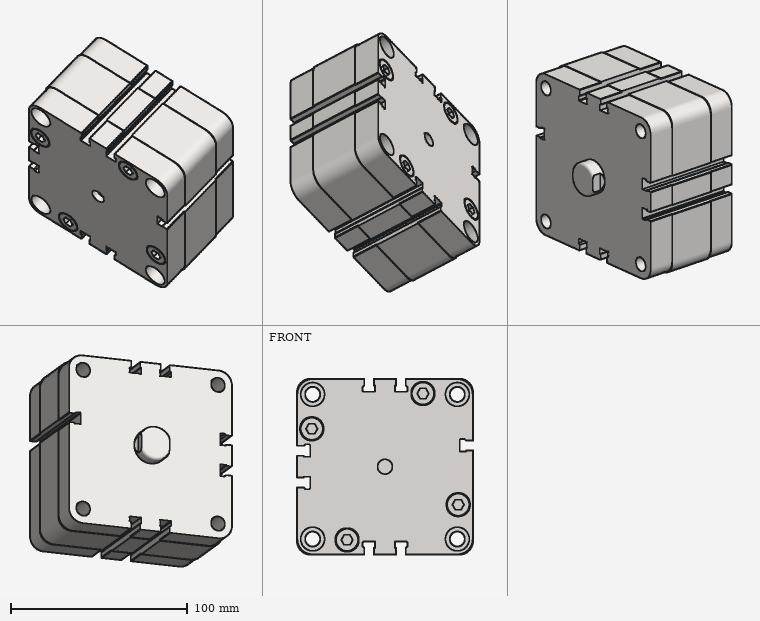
import cadquery as cq
import math

body_side = 100.0
cap_setback = 0.4
corner_radius = 8.2
cap_thickness = 16.0
body_length = 29.0
cap_side = body_side - 2 * cap_setback
rear_face = 2 * cap_thickness + body_length
rear_cap_start = cap_thickness + body_length

slot_depth = 7.5
slot_neck_depth = 4.0
slot_mouth = 5.5
pocket_outer_step = 0.9
pocket_inner_step = 0.5
pocket_bevel = 0.4
mouth_bevel = 0.3
slot_offset = 9.0
single_slot_offset = 12.0

mount_offset = 41.0
mount_hole_diameter = 8.4
mount_bore_diameter = 13.5
mount_bore_depth = 9.0

screw_near = 21.5
screw_far = 41.5
screw_bore_diameter = 13.5
screw_head_diameter = 12.5
screw_head_height = 8.0
socket_flats = 5.7
socket_depth = 4.0

centre_hole_diameter = 8.4
centre_hole_depth = 4.0

rod_diameter = 20.0
rod_length = 8.0
rod_tip_radius = 1.8
rod_flats = 17.0
rod_flat_length = 5.7


def section_at(y):
    """Workplane at Y = y that extrudes toward +Y; local x is -X and local y is Z."""
    return cq.Workplane(cq.Plane((0, y, 0), xDir=(-1, 0, 0), normal=(0, 1, 0)))


def rounded_block(side, start, length):
    block = section_at(start).rect(side, side).extrude(length)
    return block.edges("|Y").fillet(corner_radius)


def cylinder(x, z, diameter, start, length):
    return section_at(start).center(-x, z).circle(diameter / 2).extrude(length)


def prism(points, start, length):
    """Extrude an outline of (x, z) points along Y."""
    mirrored = [(-x, z) for x, z in points]
    return section_at(start).polyline(mirrored).close().extrude(length)


def slot_cutter(offset, outward):
    """Full-length slot in the +Z side; `outward` (+1 or -1) is the X side of the wider pocket step."""
    top = body_side / 2
    neck_bottom = top - slot_neck_depth
    floor = top - slot_depth
    half = slot_mouth / 2
    inner = half + pocket_inner_step
    outer = half + pocket_outer_step
    profile = [
        (-half, top),
        (-half, neck_bottom),
        (-inner, neck_bottom),
        (-inner, floor),
        (outer - pocket_bevel, floor),
        (outer, floor + pocket_bevel),
        (outer, neck_bottom - pocket_outer_step),
        (half, neck_bottom),
        (half, top),
    ]
    return prism([(offset + outward * across, z) for across, z in profile], 0, rear_face)


def mouth_bevel_cutter(offset, side, start, length):
    """Wedge that bevels both mouth edges of a slot in the +Z side of a block."""
    top = side / 2
    half = slot_mouth / 2
    wedge = [
        (offset - half, top - mouth_bevel),
        (offset - half - mouth_bevel, top),
        (offset + half + mouth_bevel, top),
        (offset + half, top - mouth_bevel),
    ]
    return prism(wedge, start, length)


def slotted(block, offset, outward, turn, bevel_body):
    """Cut one slot, turned about the Y axis from the +Z side."""
    cutters = [
        slot_cutter(offset, outward),
        mouth_bevel_cutter(offset, cap_side, 0, cap_thickness),
        mouth_bevel_cutter(offset, cap_side, rear_cap_start, cap_thickness),
    ]
    if bevel_body:
        cutters.append(mouth_bevel_cutter(offset, body_side, cap_thickness, body_length))
    for cutter in cutters:
        block = block.cut(cutter.rotate((0, 0, 0), (0, 1, 0), turn))
    return block


def cap_screw_gap(x, z):
    """Ring gap around a flush screw head, and its hexagon socket."""
    bore = cylinder(x, z, screw_bore_diameter, 0, screw_head_height)
    head = cylinder(x, z, screw_head_diameter, 0, screw_head_height)
    socket_corners = socket_flats / math.cos(math.pi / 6)
    socket = section_at(0).center(-x, z).polygon(6, socket_corners).extrude(socket_depth)
    return bore.cut(head).union(socket)


def rod_end():
    rod = cylinder(0, 0, rod_diameter, rear_face, rod_length)
    rod = rod.faces(">Y").edges().fillet(rod_tip_radius)
    tip = rear_face + rod_length
    flat_end = tip - rod_flat_length
    half = rod_flats / 2
    slope_rise = rod_diameter / 2 - half
    slope_run = rod_length - rod_flat_length
    clear = half + 2 * slope_rise
    flat_profile = [
        (half, tip),
        (half, flat_end),
        (clear, flat_end - 2 * slope_run),
        (clear, tip),
    ]
    flat = cq.Workplane("XY").polyline(flat_profile).close().extrude(rod_diameter, both=True)
    return rod.cut(flat).cut(flat.mirror("YZ"))


result = rounded_block(cap_side, 0, rear_face)
result = result.union(rounded_block(body_side, cap_thickness, body_length))

top_side, right_side, bottom_side, left_side = 0, 90, 180, 270
for turn in (top_side, bottom_side, left_side):
    for sign in (-1, 1):
        result = slotted(result, sign * slot_offset, sign, turn, bevel_body=turn == left_side)
result = slotted(result, -single_slot_offset, -1, right_side, bevel_body=False)

for x in (-mount_offset, mount_offset):
    for z in (-mount_offset, mount_offset):
        result = result.cut(cylinder(x, z, mount_hole_diameter, 0, rear_face))
        result = result.cut(cylinder(x, z, mount_bore_diameter, 0, mount_bore_depth))

for x, z in (
    (screw_near, screw_far),
    (screw_far, -screw_near),
    (-screw_near, -screw_far),
    (-screw_far, screw_near),
):
    result = result.cut(cap_screw_gap(x, z))

result = result.cut(cylinder(0, 0, centre_hole_diameter, 0, centre_hole_depth))
result = result.union(rod_end())